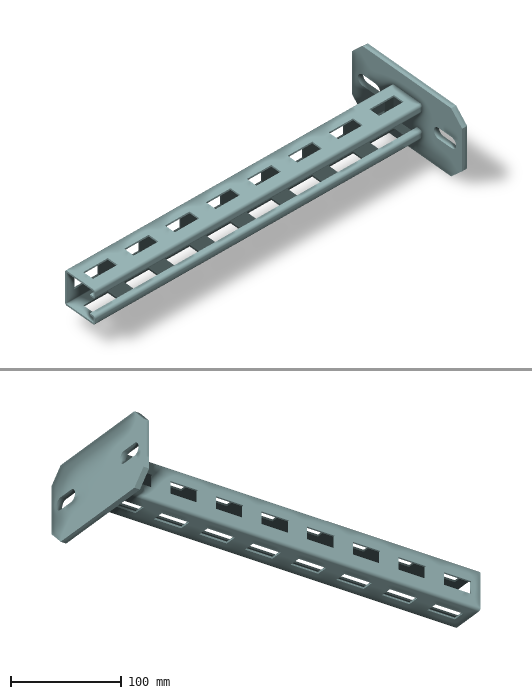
import cadquery as cq

total_length = 406.0
plate_width = 150.0
plate_height = 80.0
plate_thickness = 6.0
plate_corner_cut = 15.0

fixing_slot_length = 30.0
fixing_slot_width = 13.0
fixing_slot_offset = 51.5

rail_length = total_length - plate_thickness
rail_side = 41.0
rail_wall = 2.0
outer_bend_radius = 3.0
inner_bend_radius = outer_bend_radius - rail_wall
rail_opening = 20.5
lip_return = 7.0

window_count = 8
window_pitch = rail_length / window_count
window_length = 30.0
window_width = 13.0


def make_plate():
    """Wall plate with cut corners and two horizontal fixing slots."""
    back_face = cq.Workplane("XZ", origin=(0, total_length, 0))
    blank = (
        back_face.rect(plate_width, plate_height)
        .extrude(plate_thickness)
        .edges("|Y")
        .chamfer(plate_corner_cut)
    )
    slots = (
        back_face.pushPoints([(-fixing_slot_offset, 0), (fixing_slot_offset, 0)])
        .slot2D(fixing_slot_length, fixing_slot_width)
        .extrude(plate_thickness)
    )
    return blank.cut(slots)


def round_bends(channel, corners, radius):
    """Fillet the lengthwise edges that pass through the given X, Z corners."""
    for x, z in corners:
        nearest = cq.selectors.NearestToPointSelector((x, rail_length / 2, z))
        channel = channel.edges("|Y").edges(nearest).fillet(radius)
    return channel


def make_channel():
    """C section bent from sheet, with concentric inner and outer bend radii."""
    outer_half = rail_side / 2
    inner_half = outer_half - rail_wall
    lip_end = outer_half - lip_return
    lip_outer = rail_opening / 2
    lip_inner = lip_outer + rail_wall

    outer_corners = [
        (outer_half, lip_outer),
        (outer_half, outer_half),
        (-outer_half, outer_half),
        (-outer_half, -outer_half),
        (outer_half, -outer_half),
        (outer_half, -lip_outer),
    ]
    inner_corners = [
        (inner_half, -lip_inner),
        (inner_half, -inner_half),
        (-inner_half, -inner_half),
        (-inner_half, inner_half),
        (inner_half, inner_half),
        (inner_half, lip_inner),
    ]
    upper_lip_end = [(lip_end, lip_inner), (lip_end, lip_outer)]
    lower_lip_end = [(lip_end, -lip_outer), (lip_end, -lip_inner)]

    channel = (
        cq.Workplane("XZ", origin=(0, rail_length, 0))
        .polyline(upper_lip_end + outer_corners + lower_lip_end + inner_corners)
        .close()
        .extrude(rail_length)
    )
    channel = round_bends(channel, outer_corners, outer_bend_radius)
    return round_bends(channel, inner_corners, inner_bend_radius)


def make_window_cutter(centre_y):
    """Cutter for one window in each flange and one in the closed side wall."""
    flange_cutter = cq.Workplane("XY").box(window_width, window_length, rail_side)
    side_cutter = (
        cq.Workplane("XY")
        .box(rail_side / 2, window_length, window_width)
        .translate((-rail_side / 4, 0, 0))
    )
    return flange_cutter.union(side_cutter).translate((0, centre_y, 0))


def make_rail():
    """Channel with a row of windows through the side wall and both flanges."""
    channel = make_channel()
    for index in range(window_count):
        centre_y = window_pitch / 2 + index * window_pitch
        channel = channel.cut(make_window_cutter(centre_y))
    return channel


plate = make_plate()
rail = make_rail()

result = cq.Compound.makeCompound([plate.val(), rail.val()])